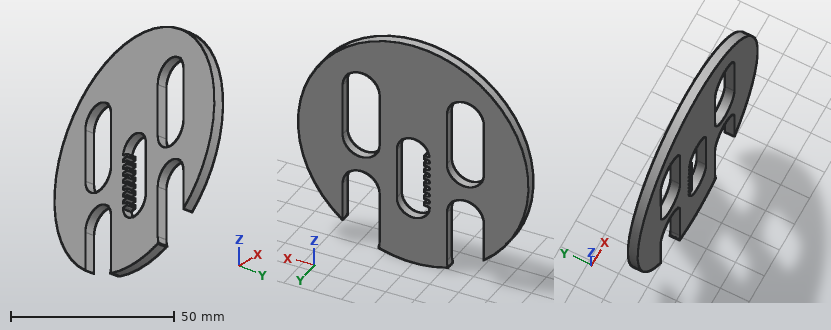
import cadquery as cq
import math

plate_radius = 39.8
plate_thickness = 3.4

slot_offset = 18.0
slot_radius = 6.4

flare_start_z = -35.5
flare_width = 0.4

rack_slot_radius = 5.65
rack_slot_travel = 17.5

tooth_count = 8
rack_length = 17.05
tooth_pitch = rack_length / (tooth_count - 1)
tooth_height = 1.9
tooth_tip_width = 0.95
tooth_root_width = 1.3


def plate_prism(sketch):
    """Extrude an XZ outline symmetrically through the plate thickness."""
    return sketch.extrude(plate_thickness / 2, both=True)


def vertical_slot(x, top_center_z, bottom_center_z, radius):
    """Round-ended slot between two end centres."""
    length = top_center_z - bottom_center_z + 2 * radius
    middle_z = (top_center_z + bottom_center_z) / 2
    return plate_prism(cq.Workplane("XZ").center(x, middle_z).slot2D(length, 2 * radius, 90))


def open_slot(side):
    """Round-topped slot running out through the lower rim; side is -1 or 1."""
    inner_x = side * (slot_offset - slot_radius)
    outer_x = side * (slot_offset + slot_radius)
    return plate_prism(
        cq.Workplane("XZ")
        .moveTo(inner_x, -plate_radius)
        .lineTo(inner_x, -slot_offset)
        .threePointArc((side * slot_offset, slot_radius - slot_offset), (outer_x, -slot_offset))
        .lineTo(outer_x, -plate_radius)
        .close()
    )


def tab_flare(side):
    """Concave flare, tangent to the slot wall, that widens the tab at the rim; side is -1 or 1."""
    wall_x = slot_offset - slot_radius
    overlap_x = wall_x - flare_width
    tip_x = wall_x + flare_width
    tip_z = -math.sqrt(plate_radius**2 - tip_x**2)
    return plate_prism(
        cq.Workplane("XZ")
        .moveTo(side * wall_x, -slot_offset)
        .lineTo(side * wall_x, flare_start_z)
        .tangentArcPoint((side * tip_x, tip_z), relative=False)
        .lineTo(side * overlap_x, tip_z)
        .lineTo(side * overlap_x, -slot_offset)
        .close()
    )


def rack_tooth(z):
    """Tapered tooth pointing toward +X, with its root sunk into the slot wall."""
    root_x = -rack_slot_radius
    gap_radius = (tooth_pitch - tooth_root_width) / 2
    straight_x = root_x + gap_radius
    tip_x = root_x + tooth_height
    half_tip = tooth_tip_width / 2
    half_root = tooth_root_width / 2
    half_pitch = tooth_pitch / 2
    arc_reach = gap_radius * math.sqrt(0.5)
    arc_x = straight_x - arc_reach
    arc_z = half_pitch - arc_reach
    tooth = (
        cq.Workplane("XZ")
        .moveTo(root_x, z - half_pitch)
        .threePointArc((arc_x, z - arc_z), (straight_x, z - half_root))
        .lineTo(tip_x, z - half_tip)
        .lineTo(tip_x, z + half_tip)
        .lineTo(straight_x, z + half_root)
        .threePointArc((arc_x, z + arc_z), (root_x, z + half_pitch))
        .lineTo(root_x - gap_radius, z + half_pitch)
        .lineTo(root_x - gap_radius, z - half_pitch)
        .close()
    )
    return plate_prism(tooth)


result = plate_prism(cq.Workplane("XZ").circle(plate_radius))

for side in (-1, 1):
    result = result.cut(vertical_slot(side * slot_offset, slot_offset, 0, slot_radius))
    result = result.cut(open_slot(side))
    result = result.union(tab_flare(side))

result = result.cut(vertical_slot(0, 0, -rack_slot_travel, rack_slot_radius))
for index in range(tooth_count):
    result = result.union(rack_tooth(-index * tooth_pitch))